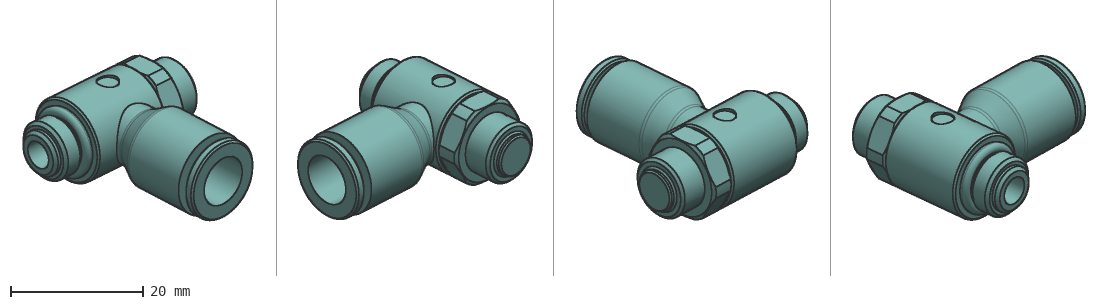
import cadquery as cq
import math


BODY_RADIUS = 7.0
BODY_BOTTOM = -8.73
BODY_TOP = 5.6
BODY_CHAMFER = 0.32

SPIGOT_RADIUS = 4.86
SPIGOT_TOP = -10.02
SPIGOT_BOTTOM = -13.55
SPIGOT_CHAMFER = 0.52
PILOT_RADIUS = 3.77
PILOT_BOTTOM = -14.63
PILOT_CHAMFER = 0.53
SEAL_SECTION_RADIUS = 0.85
SEAL_CENTER_RADIUS = 5.0

HEX_ACROSS_FLATS = 13.0
HEX_TOP = 9.56
HEX_CHAMFER_RISE = 0.35
HEX_FACE_RADIUS = 6.4
SCREW_RADIUS = 4.97
SCREW_TOP = 14.35
SCREW_CHAMFER = 0.46
TIP_RADIUS = 3.4
TIP_TOP = 15.38
TIP_CHAMFER = 0.28
TIP_FLARE = 0.33

NECK_RADIUS = 4.9
CONE_START = 7.85
CONE_END = 11.23
SLEEVE_RADIUS = 6.75
SLEEVE_END = 22.28
CONE_BLEND = 1.0
COLLET_RADIUS = 4.6
FLANGE_RADIUS = 6.5
FLANGE_START = 23.35
FLANGE_END = 25.0
FLANGE_CHAMFER = 0.3

INLET_RADIUS = 2.25
TUBE_BORE_RADIUS = 4.0
MARK_DIAMETER = 3.5
MARK_DEPTH = 0.45


def revolve_about_y(points):
    """Solid of revolution from an outline of (radius, y) points."""
    outline = cq.Workplane("XY").polyline(points).close()
    return outline.revolve(360, (0, 0, 0), (0, 1, 0))


def turned_y(radius, start, end, start_chamfer=0, end_chamfer=0):
    """Cylinder along Y with optional 45 degree chamfers at its ends."""
    outline = [(0, start), (radius - start_chamfer, start)]
    if start_chamfer:
        outline.append((radius, start + start_chamfer))
    if end_chamfer:
        outline.append((radius, end - end_chamfer))
    outline += [(radius - end_chamfer, end), (0, end)]
    return revolve_about_y(outline)


def cylinder_x(radius, start, end):
    """Cylinder along X between two X positions."""
    return cq.Workplane("YZ", origin=(start, 0, 0)).circle(radius).extrude(end - start)


def make_body():
    return turned_y(BODY_RADIUS, BODY_BOTTOM, BODY_TOP, BODY_CHAMFER, BODY_CHAMFER)


def make_spigot():
    """Sealed, chamfered spigot with its smaller pilot end."""
    core = turned_y(SPIGOT_RADIUS - SPIGOT_CHAMFER, SPIGOT_TOP, BODY_BOTTOM)
    thread = turned_y(SPIGOT_RADIUS, SPIGOT_BOTTOM, SPIGOT_TOP, SPIGOT_CHAMFER, SPIGOT_CHAMFER)
    pilot = turned_y(PILOT_RADIUS, PILOT_BOTTOM, SPIGOT_BOTTOM, PILOT_CHAMFER)
    seal_center = SPIGOT_TOP + SEAL_SECTION_RADIUS
    seal = cq.Workplane("XY").add(
        cq.Solid.makeTorus(
            SEAL_CENTER_RADIUS, SEAL_SECTION_RADIUS, cq.Vector(0, seal_center, 0), cq.Vector(0, 1, 0)
        )
    )
    return core.union(thread).union(pilot).union(seal)


def make_hexagon():
    """Hexagon with flats facing +Z and -Z, rounded corners and chamfered rims."""
    corner_diameter = HEX_ACROSS_FLATS / math.cos(math.pi / 6)
    prism = (
        cq.Workplane("XZ", origin=(0, HEX_TOP, 0))
        .polygon(6, corner_diameter)
        .extrude(HEX_TOP - BODY_TOP)
    )
    envelope = revolve_about_y([
        (0, BODY_TOP),
        (HEX_FACE_RADIUS, BODY_TOP),
        (BODY_RADIUS, BODY_TOP + HEX_CHAMFER_RISE),
        (BODY_RADIUS, HEX_TOP - HEX_CHAMFER_RISE),
        (HEX_FACE_RADIUS, HEX_TOP),
        (0, HEX_TOP),
    ])
    return prism.intersect(envelope)


def make_screw():
    """Adjusting screw head with a flared, chamfered tip."""
    head = turned_y(SCREW_RADIUS, HEX_TOP, SCREW_TOP, 0, SCREW_CHAMFER)
    tip = turned_y(TIP_RADIUS, SCREW_TOP, TIP_TOP, 0, TIP_CHAMFER)
    flare = revolve_about_y([
        (0, SCREW_TOP),
        (TIP_RADIUS + TIP_FLARE, SCREW_TOP),
        (TIP_RADIUS, SCREW_TOP + TIP_FLARE),
        (0, SCREW_TOP + TIP_FLARE),
    ])
    return head.union(tip).union(flare)


def make_branch():
    """Neck, blended cone, sleeve and release collet along +X."""
    sleeve = (
        cq.Workplane("XY")
        .polyline([
            (0, 0),
            (0, NECK_RADIUS),
            (CONE_START, NECK_RADIUS),
            (CONE_END, SLEEVE_RADIUS),
            (SLEEVE_END, SLEEVE_RADIUS),
            (SLEEVE_END, 0),
        ])
        .close()
        .revolve(360, (0, 0, 0), (1, 0, 0))
    )
    cone_rims = cq.selectors.BoxSelector(
        (CONE_START - CONE_BLEND, -BODY_RADIUS, -BODY_RADIUS),
        (CONE_END + CONE_BLEND, BODY_RADIUS, BODY_RADIUS),
        boundingbox=True,
    )
    sleeve = sleeve.edges("%CIRCLE").edges(cone_rims).fillet(CONE_BLEND)
    collet = cylinder_x(COLLET_RADIUS, SLEEVE_END, FLANGE_START)
    flange = cylinder_x(FLANGE_RADIUS, FLANGE_START, FLANGE_END).edges("%CIRCLE").chamfer(FLANGE_CHAMFER)
    return sleeve.union(collet).union(flange)


def make_passage():
    """Narrow inlet along Y meeting the tube bore along X, which ends in a hemisphere."""
    inlet = turned_y(INLET_RADIUS, PILOT_BOTTOM, 0)
    bore_end = cq.Workplane("XY").sphere(TUBE_BORE_RADIUS)
    tube_bore = cylinder_x(TUBE_BORE_RADIUS, 0, FLANGE_END)
    return inlet.union(bore_end).union(tube_bore)


def make_mark_recess():
    """Flat-bottomed round recess in the +Z side of the body."""
    floor = BODY_RADIUS - MARK_DEPTH
    return cq.Workplane("XY", origin=(0, 0, floor)).circle(MARK_DIAMETER / 2).extrude(2 * MARK_DEPTH)


result = make_body().union(make_spigot()).union(make_hexagon()).union(make_screw()).union(make_branch())
result = result.cut(make_passage()).cut(make_mark_recess())